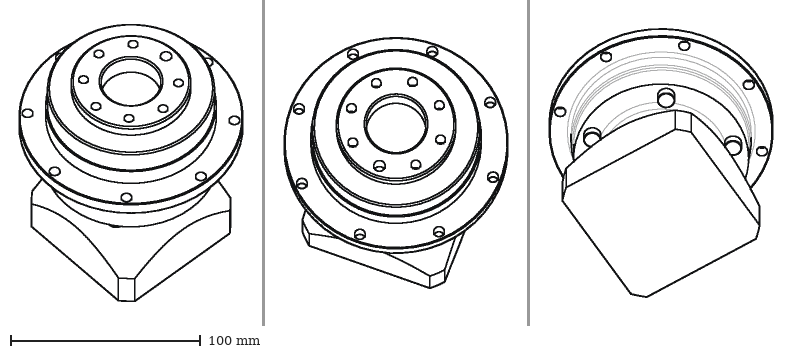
import cadquery as cq
import math

total_height = 119.8
boss_base_z = 113.7
collar_top_z = 99.8
flange_top_z = 89.8
flange_bottom_z = 81.8
pilot_bottom_z = 72.1
drum_bottom_z = 54.7
neck_bottom_z = 39.2

boss_diameter = 63.0
output_diameter = 88.0
collar_diameter = 89.8
flange_diameter = 118.0
pilot_diameter = 94.9
drum_diameter = 92.2
neck_diameter = 64.9

adapter_width = 80.0
adapter_corner_diameter = 105.0

stage_chamfer = 1.0
flange_chamfer = 0.5
pilot_fillet = 2.0
neck_fillet = 2.6

bore_diameter = 31.5
bore_depth = 12.0

output_hole_count = 8
output_hole_circle = 50.1
tapped_hole_diameter = 5.0
tapped_hole_depth = 12.0
drill_point_angle = 118.0
dowel_hole_diameter = 6.0
dowel_hole_depth = 9.6
dowel_angle = 90.0
flange_hole_count = 8
flange_hole_circle = 109.0
flange_hole_diameter = 5.6

screw_count = 5
screw_start_angle = 90.0
screw_circle = 78.1
screw_head_diameter = 9.0
screw_head_height = 4.9
screw_head_chamfer = 0.3


def polar_points(count, circle_diameter, start_angle=0.0):
    """Evenly spaced (x, y) points on a circle about the Z axis."""
    radius = circle_diameter / 2
    angles = [math.radians(start_angle + i * 360 / count) for i in range(count)]
    return [(radius * math.cos(a), radius * math.sin(a)) for a in angles]


def turned_body():
    """Revolved housing, from the output boss down to the motor face."""
    boss_r = boss_diameter / 2
    output_r = output_diameter / 2
    collar_r = collar_diameter / 2
    flange_r = flange_diameter / 2
    pilot_r = pilot_diameter / 2
    drum_r = drum_diameter / 2
    neck_r = neck_diameter / 2
    corner_r = adapter_corner_diameter / 2

    cone_bottom_z = neck_bottom_z - (corner_r - neck_r)

    blend_mid_r = (pilot_r + drum_r) / 2
    blend_angle = math.acos(1 - (pilot_r - blend_mid_r) / pilot_fillet)
    blend_half_height = pilot_fillet * math.sin(blend_angle)
    blend_mid_z = pilot_bottom_z - blend_half_height
    drum_top_z = blend_mid_z - blend_half_height

    return (
        cq.Workplane("XZ")
        .moveTo(0, total_height)
        .lineTo(boss_r - stage_chamfer, total_height)
        .lineTo(boss_r, total_height - stage_chamfer)
        .lineTo(boss_r, boss_base_z)
        .lineTo(output_r - stage_chamfer, boss_base_z)
        .lineTo(output_r, boss_base_z - stage_chamfer)
        .lineTo(output_r, collar_top_z)
        .lineTo(collar_r, collar_top_z)
        .lineTo(collar_r, flange_top_z)
        .lineTo(flange_r - flange_chamfer, flange_top_z)
        .lineTo(flange_r, flange_top_z - flange_chamfer)
        .lineTo(flange_r, flange_bottom_z + flange_chamfer)
        .lineTo(flange_r - flange_chamfer, flange_bottom_z)
        .lineTo(pilot_r + pilot_fillet, flange_bottom_z)
        .radiusArc((pilot_r, flange_bottom_z - pilot_fillet), -pilot_fillet)
        .lineTo(pilot_r, pilot_bottom_z)
        .radiusArc((blend_mid_r, blend_mid_z), pilot_fillet)
        .radiusArc((drum_r, drum_top_z), -pilot_fillet)
        .lineTo(drum_r, drum_bottom_z)
        .lineTo(neck_r + neck_fillet, drum_bottom_z)
        .radiusArc((neck_r, drum_bottom_z - neck_fillet), -neck_fillet)
        .lineTo(neck_r, neck_bottom_z)
        .lineTo(corner_r, cone_bottom_z)
        .lineTo(corner_r, 0)
        .lineTo(0, 0)
        .close()
        .revolve(360, (0, 0, 0), (0, 1, 0))
    )


def outside_adapter_square():
    """Ring around the square adapter, below the neck, to be cut away."""
    return (
        cq.Workplane("XY")
        .circle(flange_diameter / 2)
        .rect(adapter_width, adapter_width)
        .extrude(neck_bottom_z)
    )


def central_bore():
    """Blind flat bore with a chamfered mouth."""
    bore_r = bore_diameter / 2
    floor_z = total_height - bore_depth
    return (
        cq.Workplane("XZ")
        .moveTo(0, floor_z)
        .lineTo(bore_r, floor_z)
        .lineTo(bore_r, total_height - stage_chamfer)
        .lineTo(bore_r + stage_chamfer, total_height)
        .lineTo(0, total_height)
        .close()
        .revolve(360, (0, 0, 0), (0, 1, 0))
    )


def tapped_hole():
    """Drilled blind hole with a conical end, on the Z axis."""
    hole_r = tapped_hole_diameter / 2
    shoulder_z = total_height - tapped_hole_depth
    point_depth = hole_r / math.tan(math.radians(drill_point_angle / 2))
    return (
        cq.Workplane("XZ")
        .moveTo(0, shoulder_z - point_depth)
        .lineTo(hole_r, shoulder_z)
        .lineTo(hole_r, total_height)
        .lineTo(0, total_height)
        .close()
        .revolve(360, (0, 0, 0), (0, 1, 0))
    )


def dowel_hole():
    """Flat-bottomed dowel hole, on the Z axis."""
    return (
        cq.Workplane("XY", origin=(0, 0, total_height))
        .circle(dowel_hole_diameter / 2)
        .extrude(-dowel_hole_depth)
    )


def flange_holes():
    """Mounting holes through the flange only."""
    return (
        cq.Workplane("XY", origin=(0, 0, flange_bottom_z))
        .pushPoints(polar_points(flange_hole_count, flange_hole_circle))
        .circle(flange_hole_diameter / 2)
        .extrude(flange_top_z - flange_bottom_z)
    )


def screw_heads():
    """Cap screw heads hanging below the drum."""
    return (
        cq.Workplane("XY", origin=(0, 0, drum_bottom_z))
        .pushPoints(polar_points(screw_count, screw_circle, screw_start_angle))
        .circle(screw_head_diameter / 2)
        .extrude(-screw_head_height)
        .faces("<Z")
        .chamfer(screw_head_chamfer)
    )


result = turned_body().cut(outside_adapter_square())
result = result.union(screw_heads())
result = result.cut(central_bore()).cut(flange_holes())

dowel_point, *tapped_points = polar_points(output_hole_count, output_hole_circle, dowel_angle)
result = result.cut(dowel_hole().translate((*dowel_point, 0)))
for point in tapped_points:
    result = result.cut(tapped_hole().translate((*point, 0)))